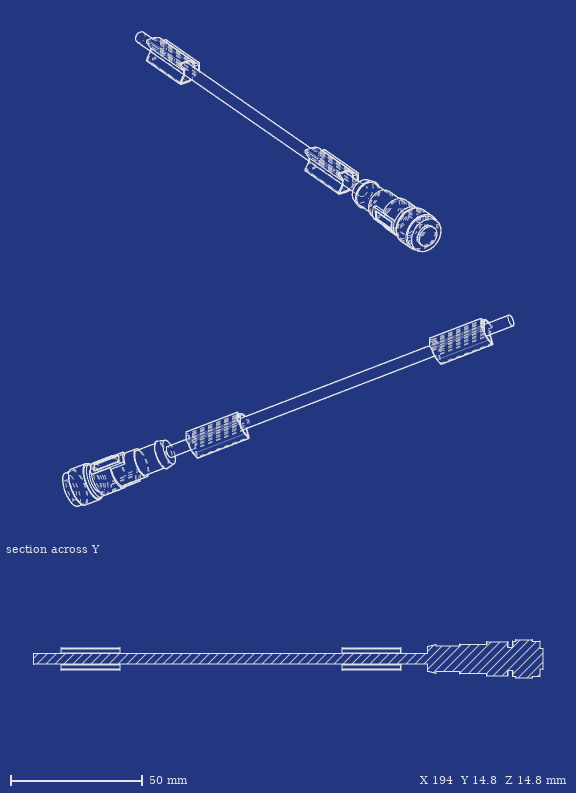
import cadquery as cq
import math

total_length = 194.0
cable_radius = 4.5 / 2

boot_start = 150.0
flare_end = 153.3
body_start = 162.2
pad_start = 166.5
ring_start = 172.5
ring_end = 180.6
flange_start = 182.4
nut_start = 183.5
nut_end = 190.0
collar_end = 192.8

boot_end_radius = 4.8
flare_radius = 5.6
boot_radius = 5.0
body_radius = 11.5 / 2
ring_radius = 6.5
neck_radius = 9.1 / 2
flange_radius = 6.8
nut_radius = 7.4
tip_radius = 4.0

pad_radius = 6.8
pad_height = 5.2
recess_height = 3.1
recess_start = 168.4
recess_end = 179.0
recess_depth = 0.48

clip_starts = (10.5, 117.4)
clip_length = 22.5
clip_half_width = 4.8
clip_half_height = 4.7
clip_wall = 0.5
clip_arc_centre = -0.87
lip_rounding = 0.68
mouth_floor = -2.5
mouth_floor_height = 1.5
label_holder_inner = 2.1
label_holder_height = 4.5
label_holder_rounding = 0.4
label_holder_root_fillet = 0.5
label_slot_inner = 2.7
label_slot_outer = 4.3
label_slot_height = 2.7


def cylinder(start, end, radius):
    return cq.Workplane("YZ", origin=(start, 0, 0)).circle(radius).extrude(end - start)


def make_boot():
    """Strain relief that flares to a lip, then steps down to a plain sleeve."""
    outline = [
        (boot_start, 0),
        (boot_start, boot_end_radius),
        (flare_end, flare_radius),
        (flare_end, boot_radius),
        (body_start, boot_radius),
        (body_start, 0),
    ]
    return cq.Workplane("XY").polyline(outline).close().revolve(360, (0, 0, 0), (1, 0, 0))


def make_pads():
    """Pair of opposite pads: the part of a disc that lies inside a flat band."""
    length = ring_end - pad_start
    middle = (pad_start + ring_end) / 2
    band = cq.Workplane("XY").box(length, 2 * pad_radius, pad_height).translate((middle, 0, 0))
    return cylinder(pad_start, ring_end, pad_radius).intersect(band)


def make_recess(side):
    pocket = cq.Workplane("XY").box(recess_end - recess_start, recess_depth, recess_height)
    middle = (recess_start + recess_end) / 2
    return pocket.translate((middle, side * (pad_radius - recess_depth / 2), 0))


def make_connector():
    connector = make_boot()
    sections = [
        (body_start, ring_start, body_radius),
        (ring_start, ring_end, ring_radius),
        (ring_end, flange_start, neck_radius),
        (flange_start, nut_start, flange_radius),
        (nut_start, nut_end, nut_radius),
        (nut_end, collar_end, flange_radius),
        (collar_end, total_length, tip_radius),
    ]
    for start, end, radius in sections:
        connector = connector.union(cylinder(start, end, radius))
    connector = connector.union(make_pads())
    for side in (-1, 1):
        connector = connector.cut(make_recess(side))
    return connector


def bar_along_clip(start, y_inner, y_outer, height):
    middle = (y_inner + y_outer) / 2
    section = cq.Workplane("YZ", origin=(start, middle, 0)).rect(y_outer - y_inner, height)
    return section.extrude(clip_length)


def clip_outline(start):
    """Outline with a round back towards +Y and a V-shaped mouth on the -Y side."""
    mouth_corner = mouth_floor_height / 2
    return (
        cq.Workplane("YZ", origin=(start, 0, 0))
        .moveTo(clip_arc_centre, clip_half_height)
        .lineTo(-clip_half_width, clip_half_height)
        .lineTo(mouth_floor, mouth_corner)
        .lineTo(mouth_floor, -mouth_corner)
        .lineTo(-clip_half_width, -clip_half_height)
        .lineTo(clip_arc_centre, -clip_half_height)
        .threePointArc((clip_arc_centre + clip_half_height, 0), (clip_arc_centre, clip_half_height))
        .close()
    )


def make_clip(start):
    """Thin-walled clip gripping the cable between its mouth and its label holder."""
    shell = clip_outline(start).extrude(clip_length).edges("|X and <Y").fillet(lip_rounding)
    shell = shell.cut(clip_outline(start).offset2D(-clip_wall).extrude(clip_length))
    holder = bar_along_clip(start, label_holder_inner, clip_half_width, label_holder_height)
    holder = holder.edges("|X and >Y").fillet(label_holder_rounding)
    label_slot = bar_along_clip(start, label_slot_inner, label_slot_outer, label_slot_height)
    clip = shell.union(holder)
    half_height = label_holder_height / 2
    root = clip_arc_centre + math.sqrt(clip_half_height**2 - half_height**2)
    middle = start + clip_length / 2
    for z in (-half_height, half_height):
        root_edge = cq.selectors.NearestToPointSelector((middle, root, z))
        clip = clip.edges(root_edge).fillet(label_holder_root_fillet)
    return clip.cut(label_slot)


result = cylinder(0, boot_start, cable_radius).union(make_connector())
for clip_start in clip_starts:
    result = result.union(make_clip(clip_start))